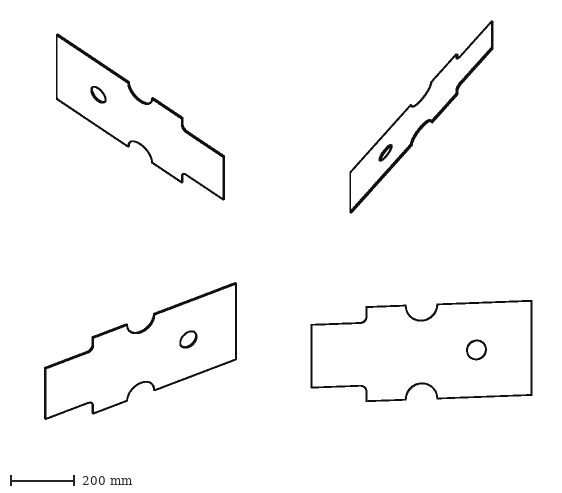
import cadquery as cq

length = 700.0
height = 300.0
thickness = 5.0

shoulder_x = 0.75 * length
tab_height = 2 / 3 * height
shoulder_fillet = 20.0

notch_x = length / 2
notch_radius = (height - tab_height) / 2
hole_x = length / 4
hole_diameter = 60.0


def vertical_plate(x_start, x_end, plate_height):
    """Plate between two X positions, centred on Y = 0 and Z = 0."""
    plate_length = x_end - x_start
    plate = cq.Workplane("XY").box(plate_length, thickness, plate_height)
    return plate.translate(((x_start + x_end) / 2, 0, 0))


def through_cylinder(x, z, radius):
    """Cutter along Y, passing through the plate thickness."""
    circle = cq.Workplane("XZ").center(x, z).circle(radius)
    return circle.extrude(thickness, both=True)


body = vertical_plate(0, shoulder_x, height)
tab = vertical_plate(shoulder_x, length, tab_height)
inner_corners = cq.selectors.BoxSelector(
    (shoulder_x - shoulder_fillet, -thickness, -tab_height / 2 - shoulder_fillet),
    (shoulder_x + shoulder_fillet, thickness, tab_height / 2 + shoulder_fillet),
)
result = body.union(tab).edges("|Y").edges(inner_corners).fillet(shoulder_fillet)

for edge_z in (-height / 2, height / 2):
    result = result.cut(through_cylinder(notch_x, edge_z, notch_radius))

result = result.cut(through_cylinder(hole_x, 0, hole_diameter / 2))